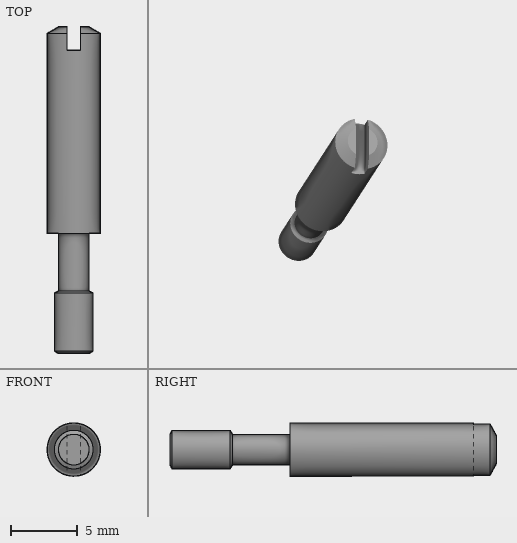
import cadquery as cq
import math


total_length = 24.5
head_length = 15.5
thread_length = 4.7

head_diameter = 4.0
neck_diameter = 2.3
thread_diameter = 2.9

chamfer_angle = math.radians(30)
head_chamfer_length = 0.5
thread_chamfer_depth = (thread_diameter - neck_diameter) / 2
thread_chamfer_length = thread_chamfer_depth * math.tan(chamfer_angle)

slot_width = 1.0
slot_depth = 1.75

head_end = head_length
tip_end = head_length - total_length
thread_start = tip_end + thread_length


def make_body():
    """Revolve the half outline of the screw around the Y axis."""
    head_radius = head_diameter / 2
    neck_radius = neck_diameter / 2
    thread_radius = thread_diameter / 2
    head_end_radius = head_radius - head_chamfer_length / math.tan(chamfer_angle)
    tip_radius = thread_radius - thread_chamfer_depth
    outline = [
        (0, tip_end),
        (tip_radius, tip_end),
        (thread_radius, tip_end + thread_chamfer_length),
        (thread_radius, thread_start - thread_chamfer_length),
        (neck_radius, thread_start),
        (neck_radius, 0),
        (head_radius, 0),
        (head_radius, head_end - head_chamfer_length),
        (head_end_radius, head_end),
        (0, head_end),
    ]
    return cq.Workplane("XY").polyline(outline).close().revolve(360, (0, 0, 0), (0, 1, 0))


def make_slot():
    """Cutter for the straight slot across the head, running along Z."""
    slot_center_y = head_end - slot_depth / 2
    slot = cq.Workplane("XY").box(slot_width, slot_depth, head_diameter)
    return slot.translate((0, slot_center_y, 0))


result = make_body().cut(make_slot())